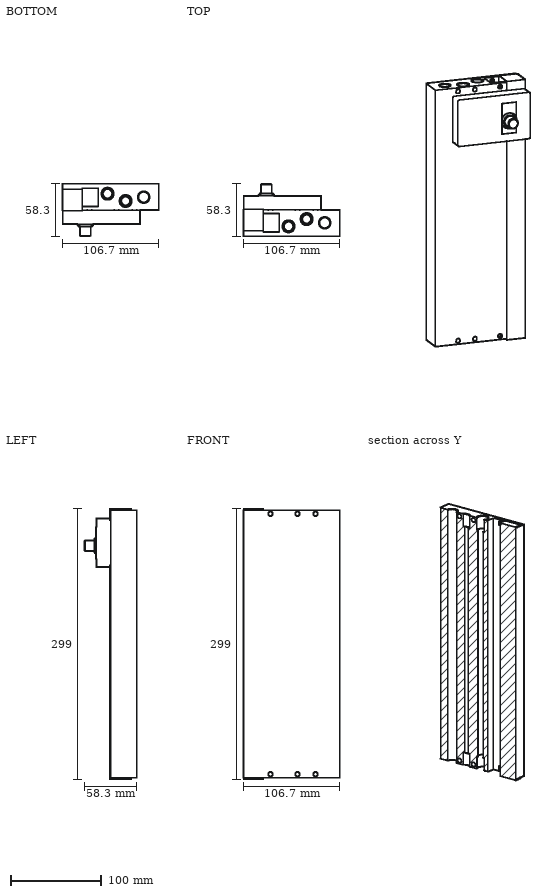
import cadquery as cq

WIDTH = 106.7
BODY_DEPTH = 29.3
TOTAL_HEIGHT = 299.0
END_STEP = 1.2
FRONT_EDGE_RADIUS = 0.45

INSERT_LEFT = 0.15
INSERT_RIGHT = 22.0
INSERT_FRONT = 6.3
INSERT_BACK = 30.0

CHANNEL_WIDTH = 17.3
CHANNEL_FRONT = 5.0
CHANNEL_BACK = 25.0

BORES = [
    (50.0, 11.0, 10.2, 12.3),
    (70.0, 19.0, 9.5, 12.3),
    (90.0, 15.0, 11.7, 11.7),
]
PORT_DEPTH = 15.0
PORT_CHAMFER = 0.75

CROSS_HOLE_X = [30.0, 59.8, 79.8]
CROSS_HOLE_DIAMETER = 4.8
CROSS_HOLE_END_DISTANCE = 5.5

HOUSING_LEFT = 0.15
HOUSING_RIGHT = 86.0
HOUSING_TOP = 288.5
HOUSING_HEIGHT = 53.8
HOUSING_BACK = 44.8
HOUSING_CORNER_RADIUS = 1.8

PLATE_WIDTH = 17.0
PLATE_BOTTOM = 243.7
PLATE_TOP = 279.0
PLATE_THICKNESS = 0.5
STUB_X = 25.5
STUB_Z = 258.3
STUB_DIAMETER = 12.0
STUB_CHAMFER = 1.0
COLLAR_BASE_DIAMETER = 18.0
COLLAR_TOP_DIAMETER = 14.5
COLLAR_HEIGHT = 2.0
TOTAL_DEPTH = 58.3


def box(x_range, y_range, z_range):
    """Box given by its limits along each axis."""
    (x0, x1), (y0, y1), (z0, z1) = x_range, y_range, z_range
    return cq.Workplane("XY").box(x1 - x0, y1 - y0, z1 - z0, centered=False).translate((x0, y0, z0))


def rod_along_y(x, z, diameter, y0, y1):
    """Cylinder running in the +Y direction from y0 to y1."""
    axis = cq.Vector(0, 1, 0)
    return cq.Workplane(cq.Solid.makeCylinder(diameter / 2, y1 - y0, cq.Vector(x, y0, z), axis))


def rod_along_z(x, y, diameter, z0, z1):
    """Cylinder running in the +Z direction from z0 to z1."""
    return cq.Workplane(cq.Solid.makeCylinder(diameter / 2, z1 - z0, cq.Vector(x, y, z0)))


def make_body():
    slab = box((0, WIDTH), (0, BODY_DEPTH), (END_STEP, TOTAL_HEIGHT - END_STEP))
    slab = slab.faces("<Y").edges("|Z").fillet(FRONT_EDGE_RADIUS)
    insert = box((INSERT_LEFT, INSERT_RIGHT), (INSERT_FRONT, INSERT_BACK), (0, TOTAL_HEIGHT))
    return slab.union(insert)


def cut_channel(body):
    channel_x = (INSERT_RIGHT, INSERT_RIGHT + CHANNEL_WIDTH)
    return body.cut(box(channel_x, (CHANNEL_FRONT, CHANNEL_BACK), (0, TOTAL_HEIGHT)))


def cut_bores(body):
    bottom, top = END_STEP, TOTAL_HEIGHT - END_STEP
    for x, y, bore, port in BORES:
        body = body.cut(rod_along_z(x, y, bore, bottom, top))
        mouth_radius = port / 2 + PORT_CHAMFER
        for end, inward in ((bottom, 1), (top, -1)):
            start = cq.Vector(x, y, end)
            direction = cq.Vector(0, 0, inward)
            body = body.cut(cq.Workplane(cq.Solid.makeCylinder(port / 2, PORT_DEPTH, start, direction)))
            countersink = cq.Solid.makeCone(mouth_radius, port / 2, PORT_CHAMFER, start, direction)
            body = body.cut(cq.Workplane(countersink))
    return body


def cut_cross_holes(body):
    for z in (CROSS_HOLE_END_DISTANCE, TOTAL_HEIGHT - CROSS_HOLE_END_DISTANCE):
        for x in CROSS_HOLE_X:
            body = body.cut(rod_along_y(x, z, CROSS_HOLE_DIAMETER, 0, BODY_DEPTH))
    return body


def make_housing():
    housing_z = (HOUSING_TOP - HOUSING_HEIGHT, HOUSING_TOP)
    housing = box((HOUSING_LEFT, HOUSING_RIGHT), (BODY_DEPTH, HOUSING_BACK), housing_z)
    return housing.edges("|Y").fillet(HOUSING_CORNER_RADIUS)


def make_connector():
    plate_back = HOUSING_BACK + PLATE_THICKNESS
    plate_x = (STUB_X - PLATE_WIDTH / 2, STUB_X + PLATE_WIDTH / 2)
    plate = box(plate_x, (HOUSING_BACK, plate_back), (PLATE_BOTTOM, PLATE_TOP))
    collar = cq.Solid.makeCone(
        COLLAR_BASE_DIAMETER / 2,
        COLLAR_TOP_DIAMETER / 2,
        COLLAR_HEIGHT,
        cq.Vector(STUB_X, plate_back, STUB_Z),
        cq.Vector(0, 1, 0),
    )
    stub = rod_along_y(STUB_X, STUB_Z, STUB_DIAMETER, HOUSING_BACK, TOTAL_DEPTH)
    stub = stub.faces(">Y").chamfer(STUB_CHAMFER)
    return plate.union(cq.Workplane(collar)).union(stub)


body = cut_cross_holes(cut_bores(cut_channel(make_body())))
result = body.union(make_housing()).union(make_connector())